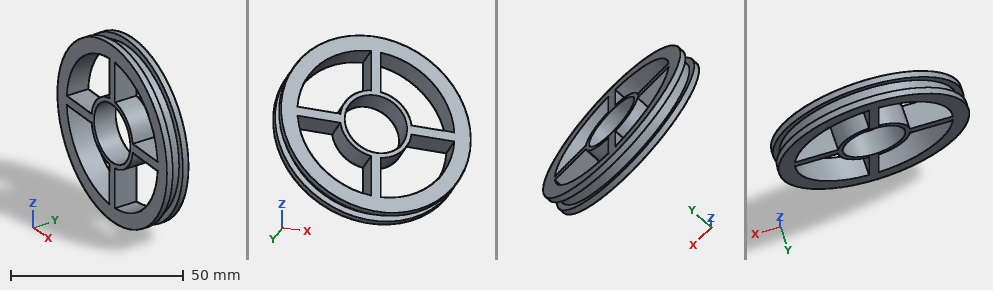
import cadquery as cq

outer_diameter = 58.0
width = 7.5
groove_diameter = 54.0
groove_width = 3.5
rim_inner_diameter = 48.0
hub_diameter = 22.0
bore_diameter = 19.0
spoke_thickness = 3.0
spoke_count = 4


def disc(diameter, length):
    """Solid disc around the Y axis, centred on the origin."""
    return cq.Workplane("XZ", origin=(0, length / 2, 0)).circle(diameter / 2).extrude(length)


def ring(outside, inside, length):
    return disc(outside, length).cut(disc(inside, length))


def spoke(angle):
    """Full-width web from inside the hub wall to inside the rim wall."""
    inner_end = (hub_diameter + bore_diameter) / 4
    outer_end = (rim_inner_diameter + groove_diameter) / 4
    web = cq.Workplane("XY").box(outer_end - inner_end, width, spoke_thickness)
    web = web.translate(((inner_end + outer_end) / 2, 0, 0))
    return web.rotate((0, 0, 0), (0, 1, 0), angle)


rim = ring(outer_diameter, rim_inner_diameter, width)
rim = rim.cut(ring(outer_diameter, groove_diameter, groove_width))

result = rim.union(ring(hub_diameter, bore_diameter, width))
for index in range(spoke_count):
    result = result.union(spoke(index * 360 / spoke_count))